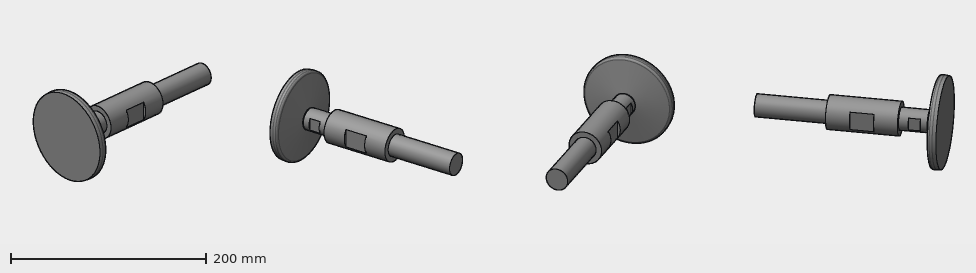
import cadquery as cq
import math

total_length = 197.0

plate_diameter = 98.0
underside_diameter = 97.0
taper_height = 4.0
cone_angle = 10.0
cone_top = 15.8
rim_fillet = 2.5

neck_diameter = 23.2
neck_top = 16.5

rod_diameter = 24.0
rod_across_flats = 19.9
rod_flat_length = 12.5
rod_flat_start = 23.8

sleeve_diameter = 36.0
sleeve_start = 46.3
sleeve_length = 75.0
sleeve_across_flats = 30.0
sleeve_flat_length = sleeve_length / 3


def cut_wrench_flats(body, diameter, across_flats, start, length):
    """Cut two opposite flats into the +X and -X sides of a round section."""
    depth = (diameter - across_flats) / 2
    for side in (-1, 1):
        cutter = cq.Workplane("XY").box(2 * depth, length, diameter)
        offset = side * (across_flats / 2 + depth)
        body = body.cut(cutter.translate((offset, start + length / 2, 0)))
    return body


def fillet_ring(body, height, radius):
    """Round the circular edge that lies at Y = height."""
    reach = plate_diameter
    margin = 0.2
    ring = cq.selectors.BoxSelector(
        (-reach, height - margin, -reach),
        (reach, height + margin, reach),
        boundingbox=True,
    )
    return body.edges(ring).fillet(radius)


def make_foot():
    """Plate with a tapered lower rim and a conical top, in one piece with its neck and the rod."""
    plate_radius = plate_diameter / 2
    rod_radius = rod_diameter / 2
    neck_radius = neck_diameter / 2
    cone_drop = (plate_radius - neck_radius) * math.tan(math.radians(cone_angle))
    cone_bottom = cone_top - cone_drop
    foot = (
        cq.Workplane("XY")
        .lineTo(underside_diameter / 2, 0)
        .lineTo(plate_radius, taper_height)
        .lineTo(plate_radius, cone_bottom)
        .lineTo(neck_radius, cone_top)
        .lineTo(neck_radius, neck_top)
        .lineTo(rod_radius, neck_top)
        .lineTo(rod_radius, total_length)
        .lineTo(0, total_length)
        .close()
        .revolve(360, (0, 0, 0), (0, 1, 0))
    )
    foot = fillet_ring(foot, cone_bottom, rim_fillet)
    return cut_wrench_flats(
        foot, rod_diameter, rod_across_flats, rod_flat_start, rod_flat_length
    )


def make_sleeve():
    """Tube around the rod with a pair of wrench flats at mid-length."""
    sleeve = (
        cq.Workplane("XZ", origin=(0, sleeve_start, 0))
        .circle(sleeve_diameter / 2)
        .circle(rod_diameter / 2)
        .extrude(-sleeve_length)
    )
    flat_start = sleeve_start + (sleeve_length - sleeve_flat_length) / 2
    return cut_wrench_flats(
        sleeve, sleeve_diameter, sleeve_across_flats, flat_start, sleeve_flat_length
    )


foot = make_foot()
sleeve = make_sleeve()

result = cq.Compound.makeCompound([foot.solids().val(), sleeve.solids().val()])